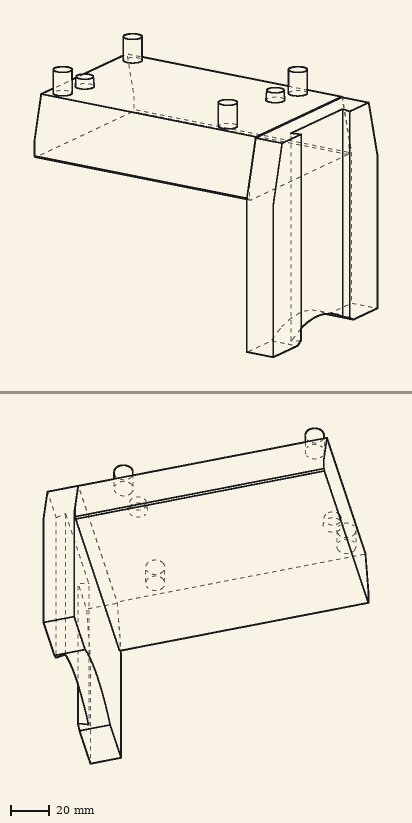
import cadquery as cq
import math

length = 150.5
width = 100.0
height = 128.5
plate_thickness = 16.5
taper = math.tan(math.radians(15))

arm_length = length - plate_thickness
arm_width = 95.0
arm_depth = 33.1
arm_taper_depth = 24.2
arm_bottom_chamfer = 0.9

pin_diameter = 10.0
pin_height = 13.0
pin_inset = 8.6
pin_spacing_x = 103.0
pin_spacing_y = 67.0
stud_base_diameter = 10.0
stud_top_diameter = 9.0
stud_height = 5.3
stud_center_x = 59.9
stud_offset_x = 48.0
stud_offset_y = 17.5

plate_top = -0.5
plate_bottom = pin_height - height
plate_taper_depth = 31.8
arch_width = 53.3
arch_rise = 8.0

groove_depth = 5.4
groove_floor_width = 49.4


def tapered_block(block_width, top, bottom, taper_depth, start_x, thickness):
    """Extrude along X a section whose upper flanks lean inward and lower flanks are upright."""
    half_base = block_width / 2
    half_top = half_base - taper_depth * taper
    shoulder = top - taper_depth
    return (
        cq.Workplane("YZ", origin=(start_x, 0, 0))
        .moveTo(-half_top, top)
        .lineTo(half_top, top)
        .lineTo(half_base, shoulder)
        .lineTo(half_base, bottom)
        .lineTo(-half_base, bottom)
        .lineTo(-half_base, shoulder)
        .close()
        .extrude(thickness)
    )


def make_arm():
    arm = tapered_block(arm_width, 0, -arm_depth, arm_taper_depth, 0, arm_length)
    return arm.faces("<Z").edges("|X").chamfer(arm_bottom_chamfer)


def make_plate():
    plate = tapered_block(
        width, plate_top, plate_bottom, plate_taper_depth, arm_length, plate_thickness
    )
    arch = (
        cq.Workplane("YZ", origin=(arm_length, 0, 0))
        .moveTo(-arch_width / 2, plate_bottom)
        .threePointArc((0, plate_bottom + arch_rise), (arch_width / 2, plate_bottom))
        .close()
        .extrude(plate_thickness)
    )
    half_floor = groove_floor_width / 2
    half_mouth = half_floor - groove_depth * taper
    groove = (
        cq.Workplane("XY", origin=(0, 0, plate_bottom))
        .moveTo(length - groove_depth, -half_floor)
        .lineTo(length, -half_mouth)
        .lineTo(length, half_mouth)
        .lineTo(length - groove_depth, half_floor)
        .close()
        .extrude(plate_top - plate_bottom)
    )
    return plate.cut(arch).cut(groove)


def make_pins():
    return (
        cq.Workplane("XY", origin=(pin_inset + pin_spacing_x / 2, 0, 0))
        .rect(pin_spacing_x, pin_spacing_y, forConstruction=True)
        .vertices()
        .circle(pin_diameter / 2)
        .extrude(pin_height)
    )


def make_stud(x, y):
    return (
        cq.Workplane("XY", origin=(x, y, 0))
        .circle(stud_base_diameter / 2)
        .workplane(offset=stud_height)
        .circle(stud_top_diameter / 2)
        .loft(ruled=True)
    )


result = make_arm().union(make_plate()).union(make_pins())
for side in (-1, 1):
    result = result.union(make_stud(stud_center_x + side * stud_offset_x, side * stud_offset_y))